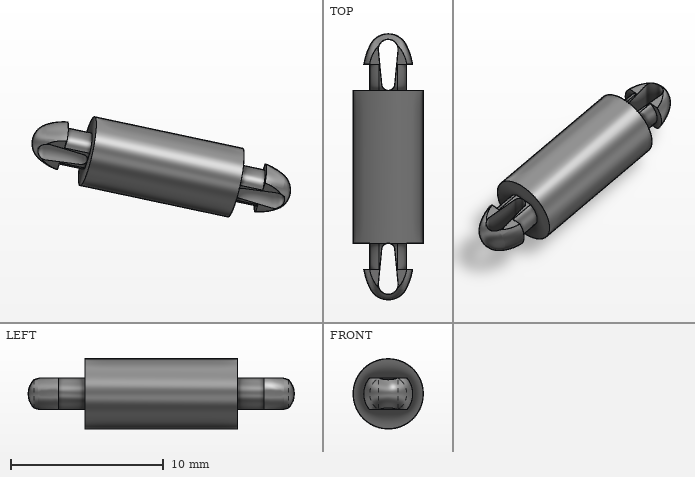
import cadquery as cq
import math

barrel_diameter = 4.6
barrel_length = 10.0

pin_height = 3.7
pin_thickness = 2.08
stem_diameter = 2.42
stem_height = 1.7

barb_radius = 1.6
nose_radius = 1.316
nose_half_angle = math.radians(59.6)

slot_root_radius = 0.42
slot_tip_radius = 0.64
slot_top_height = 3.325


def make_barrel():
    face_plane = cq.Workplane("XZ", origin=(0, barrel_length / 2, 0))
    return face_plane.circle(barrel_diameter / 2).extrude(barrel_length)


def make_head(base_y):
    """Revolve the head profile about the Y axis."""
    barb_y = base_y + stem_height
    tip_y = base_y + pin_height
    nose_center_y = tip_y - nose_radius

    def nose_point(angle):
        return (nose_radius * math.sin(angle), nose_center_y + nose_radius * math.cos(angle))

    return (
        cq.Workplane("XY")
        .moveTo(0, barb_y)
        .lineTo(0, tip_y)
        .threePointArc(nose_point(nose_half_angle / 2), nose_point(nose_half_angle))
        .tangentArcPoint((barb_radius, barb_y), relative=False)
        .close()
        .revolve(360, (0, 0, 0), (0, 1, 0))
    )


def make_slot(base_y):
    """Two unequal round ends joined by their common outer tangent lines."""
    root_center_y = base_y + slot_root_radius
    tip_center_y = base_y + slot_top_height - slot_tip_radius
    taper = math.asin((slot_tip_radius - slot_root_radius) / (tip_center_y - root_center_y))

    def tangent_point(side, center_y, radius):
        return (side * radius * math.cos(taper), center_y - radius * math.sin(taper))

    return (
        cq.Workplane("XY")
        .moveTo(*tangent_point(-1, root_center_y, slot_root_radius))
        .threePointArc((0, base_y), tangent_point(1, root_center_y, slot_root_radius))
        .lineTo(*tangent_point(1, tip_center_y, slot_tip_radius))
        .threePointArc((0, base_y + slot_top_height), tangent_point(-1, tip_center_y, slot_tip_radius))
        .close()
        .extrude(pin_thickness, both=True)
    )


def make_pin():
    """Pin on the +Y end: stem and head, flattened in Z and slotted."""
    base_y = barrel_length / 2
    stem = (
        cq.Workplane("XZ", origin=(0, base_y, 0))
        .circle(stem_diameter / 2)
        .extrude(-stem_height)
    )
    flats = (
        cq.Workplane("XY")
        .box(2 * barb_radius, pin_height, pin_thickness)
        .translate((0, base_y + pin_height / 2, 0))
    )
    return stem.union(make_head(base_y)).intersect(flats).cut(make_slot(base_y))


pin = make_pin()
result = make_barrel().union(pin).union(pin.mirror("XZ"))